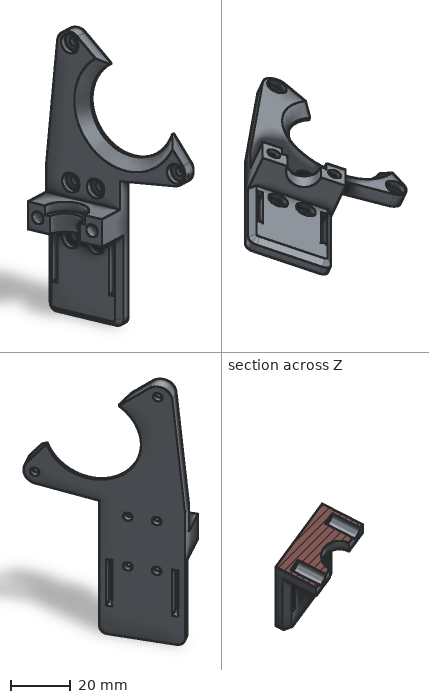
import cadquery as cq
import math

plate_width = 30.0
plate_thickness = 5.0
shoulder_height = 53.3
corner_radius = 3.1
edge_chamfer = 2.2
middle_x = plate_width / 2

ring_x = 32.4
ring_z = 78.4
ring_radius = 17.0
ring_land = 1.0
flare_radius = ring_radius + plate_thickness - ring_land
upper_tip_angle = 123.0
lower_tip_angle = -19.4

total_height = 102.8
total_width = 56.4
ear_radius = 4.9
upper_ear = (9.4, total_height - ear_radius)
lower_ear = (total_width - ear_radius, 61.1)

screw_diameter = 3.2
head_diameter = 7.0
head_depth = 2.5
ear_screws = [(9.6, 98.5), (52.5, 60.8)]
screw_spacing_x = 10.1
screw_rows = [28.5, 48.5]

block_bottom = 33.1
block_height = 10.0
block_depth = 11.0
block_top = block_bottom + block_height
block_front = -plate_thickness - block_depth
seat_diameter = 12.1
collar_diameter = 16.2
collar_height = 3.4
clamp_hole_diameter = 4.5
clamp_hole_spacing = 22.0
clamp_hole_depth = block_depth

slot_width = 2.1
slot_spacing = 23.0
slot_bottom = 11.4
slot_top = 30.0


def tangent_point(point, center, side):
    """Where a line from point touches an ear; side +1 or -1 selects the tangent."""
    dx = point[0] - center[0]
    dz = point[1] - center[1]
    angle = math.atan2(dz, dx) + side * math.acos(ear_radius / math.hypot(dx, dz))
    return polar(center, ear_radius, angle)


def polar(center, radius, angle):
    return (center[0] + radius * math.cos(angle), center[1] + radius * math.sin(angle))


def ear_far_point(start, end, center):
    """Point of the ear's round halfway between its two tangent points."""
    middle_dx = (start[0] + end[0]) / 2 - center[0]
    middle_dz = (start[1] + end[1]) / 2 - center[1]
    return polar(center, ear_radius, math.atan2(middle_dz, middle_dx))


def cylinder_along_y(x, z, diameter, front, depth):
    """Cylinder from Y = front, running backward to +Y."""
    return cq.Workplane("XZ", origin=(x, front, z)).circle(diameter / 2).extrude(-depth)


def make_plate():
    ring_center = (ring_x, ring_z)
    upper_tip = polar(ring_center, ring_radius, math.radians(upper_tip_angle))
    lower_tip = polar(ring_center, ring_radius, math.radians(lower_tip_angle))
    left_shoulder = (0, shoulder_height)
    right_shoulder = (plate_width, shoulder_height)
    upper_left = tangent_point(left_shoulder, upper_ear, -1)
    upper_right = tangent_point(upper_tip, upper_ear, 1)
    lower_right = tangent_point(lower_tip, lower_ear, -1)
    lower_left = tangent_point(right_shoulder, lower_ear, 1)
    arms = (
        cq.Workplane("XZ")
        .moveTo(*left_shoulder)
        .lineTo(*upper_left)
        .threePointArc(ear_far_point(upper_left, upper_right, upper_ear), upper_right)
        .lineTo(*upper_tip)
        .lineTo(*ring_center)
        .lineTo(*lower_tip)
        .lineTo(*lower_right)
        .threePointArc(ear_far_point(lower_right, lower_left, lower_ear), lower_left)
        .lineTo(*right_shoulder)
        .close()
        .extrude(plate_thickness)
    )
    base = (
        cq.Workplane("XZ")
        .rect(plate_width, block_bottom, centered=False)
        .extrude(plate_thickness)
        .edges("|Y and <Z")
        .fillet(corner_radius)
        .faces("<Y")
        .edges("not >Z")
        .chamfer(edge_chamfer)
    )
    neck = cq.Workplane("XY").box(
        plate_width, plate_thickness, shoulder_height - block_bottom, centered=False
    ).translate((0, -plate_thickness, block_bottom))
    return base.union(neck).union(arms)


def make_ring_cutter():
    """Land and flare revolved around the ring axis, which runs along Y."""
    return (
        cq.Workplane("XY", origin=(ring_x, 0, ring_z))
        .polyline([
            (0, 0),
            (ring_radius, 0),
            (ring_radius, -ring_land),
            (flare_radius, -plate_thickness),
            (0, -plate_thickness),
        ])
        .close()
        .revolve(360, (0, 0, 0), (0, 1, 0))
    )


def make_block():
    block = cq.Workplane("XY").box(
        plate_width, block_depth, block_height, centered=False
    ).translate((0, block_front, block_bottom))
    seat = cq.Workplane("XY", origin=(middle_x, block_front, block_bottom))
    block = block.cut(seat.circle(seat_diameter / 2).extrude(block_height))
    collar = cq.Workplane("XY", origin=(middle_x, block_front, block_top))
    block = block.cut(collar.circle(collar_diameter / 2).extrude(-collar_height))
    for side in (-1, 1):
        x = middle_x + side * clamp_hole_spacing / 2
        z = block_bottom + block_height / 2
        block = block.cut(
            cylinder_along_y(x, z, clamp_hole_diameter, block_front, clamp_hole_depth)
        )
    return block


plate_screws = [
    (middle_x + side * screw_spacing_x / 2, z) for side in (-1, 1) for z in screw_rows
]

plate = make_plate().cut(make_ring_cutter())
for x, z in ear_screws + plate_screws:
    plate = plate.cut(cylinder_along_y(x, z, screw_diameter, -plate_thickness, plate_thickness))
    plate = plate.cut(cylinder_along_y(x, z, head_diameter, -plate_thickness, head_depth))

slots = (
    cq.Workplane("XZ", origin=(middle_x, 0, (slot_bottom + slot_top) / 2))
    .pushPoints([(-slot_spacing / 2, 0), (slot_spacing / 2, 0)])
    .rect(slot_width, slot_top - slot_bottom)
    .extrude(plate_thickness)
)

result = plate.cut(slots).union(make_block())